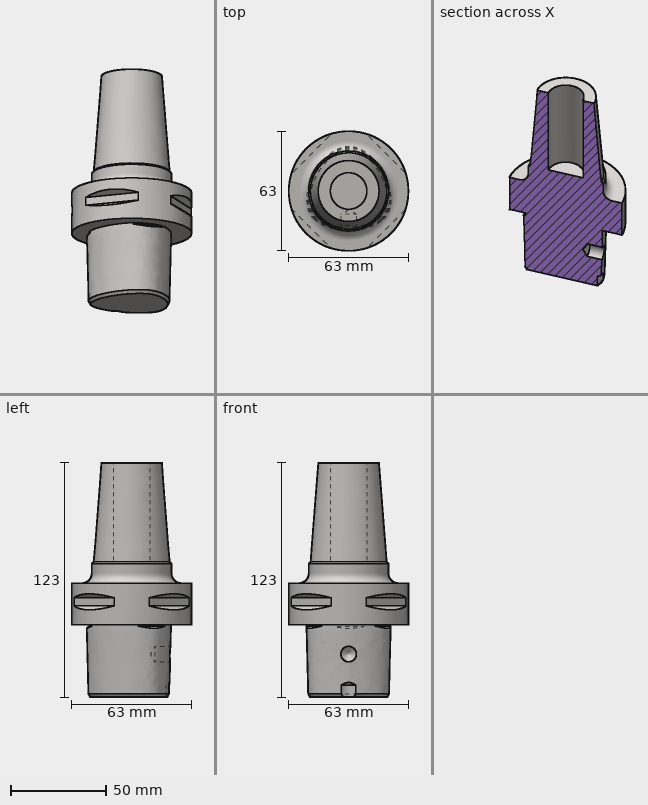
import cadquery as cq
import math

total_height = 123.0
flange_bottom = 38.0
flange_top = 59.9
collar_bottom = 65.0
collar_top = 71.0

flange_radius = 31.5
collar_radius = 21.0
collar_chamfer = 1.0
nose_tip_radius = 16.0
nose_bore_radius = 9.6
nose_bore_depth = total_height - collar_top

lobe_count = 3
lobe_height = 1.5
section_points = 72
shank_radius = 22.1
shank_taper_top = 35.0
shank_taper_slope = 1 / 40
end_chamfer_height = 1.8
end_chamfer_width = 1.0

relief_radius = 22.4
relief_cylinder_bottom = 37.3
relief_bottom = 36.2

groove_count = 4
groove_height = 50.0
groove_floor_distance = 27.8
groove_floor_width = 4.2
groove_flank_angle = 30.0
groove_overrun = 1.2

side_hole_radius = 4.0
side_hole_height = 22.6
side_hole_depth = 8.6
drill_half_angle = 60.0
notch_radius = 4.9
notch_axis_offset = 2.1
notch_height = 6.3
notch_tip_height = 3.5

flat_side = shank_radius - lobe_height


def polygon_section(mean_radius, height):
    """Closed wire of the lobed shank: the envelope of tangent lines at a wavy distance from the axis."""

    def point(turn):
        normal_angle = 2 * math.pi * turn - math.pi / 2
        lobe_phase = lobe_count * (normal_angle - math.pi / 2)
        reach = mean_radius + lobe_height * math.cos(lobe_phase)
        slide = -lobe_count * lobe_height * math.sin(lobe_phase)
        x = reach * math.cos(normal_angle) - slide * math.sin(normal_angle)
        y = reach * math.sin(normal_angle) + slide * math.cos(normal_angle)
        return (x, y, height)

    points = [cq.Vector(*point(index / section_points)) for index in range(section_points)]
    return cq.Wire.assembleEdges([cq.Edge.makeSpline(points, periodic=True)])


def make_shank():
    taper_bottom_radius = shank_radius - (shank_taper_top - end_chamfer_height) * shank_taper_slope
    sections = [
        polygon_section(taper_bottom_radius - end_chamfer_width, 0),
        polygon_section(taper_bottom_radius, end_chamfer_height),
        polygon_section(shank_radius, shank_taper_top),
        polygon_section(shank_radius, flange_bottom),
    ]
    return cq.Workplane(cq.Solid.makeLoft(sections, True))


def make_relief():
    outside = shank_radius + 2 * lobe_height
    lobe_tip = shank_radius + lobe_height
    return (
        cq.Workplane("XZ")
        .moveTo(relief_radius, flange_bottom)
        .lineTo(relief_radius, relief_cylinder_bottom)
        .lineTo(lobe_tip, relief_bottom)
        .lineTo(outside, relief_bottom)
        .lineTo(outside, flange_bottom)
        .close()
        .revolve(360, (0, 0, 0), (0, 1, 0))
    )


def make_upper_body():
    fillet_radius = collar_bottom - flange_top
    fillet_foot = collar_radius + fillet_radius
    fillet_bend = fillet_radius * (1 - math.sqrt(0.5))
    return (
        cq.Workplane("XZ")
        .moveTo(0, flange_bottom)
        .lineTo(flange_radius, flange_bottom)
        .lineTo(flange_radius, flange_top)
        .lineTo(fillet_foot, flange_top)
        .threePointArc(
            (collar_radius + fillet_bend, flange_top + fillet_bend),
            (collar_radius, collar_bottom),
        )
        .lineTo(collar_radius, collar_top - collar_chamfer)
        .lineTo(collar_radius - collar_chamfer, collar_top)
        .lineTo(nose_tip_radius, total_height)
        .lineTo(0, total_height)
        .close()
        .revolve(360, (0, 0, 0), (0, 1, 0))
    )


def make_nose_bore():
    bottom = total_height - nose_bore_depth
    return cq.Workplane("XY", origin=(0, 0, bottom)).circle(nose_bore_radius).extrude(nose_bore_depth)


def make_groove(angle):
    mouth_distance = flange_radius + groove_overrun
    depth = mouth_distance - groove_floor_distance
    half_floor = groove_floor_width / 2
    half_mouth = half_floor + depth * math.tan(math.radians(groove_flank_angle))
    return (
        cq.Workplane("XZ")
        .moveTo(groove_floor_distance, groove_height - half_floor)
        .lineTo(mouth_distance, groove_height - half_mouth)
        .lineTo(mouth_distance, groove_height + half_mouth)
        .lineTo(groove_floor_distance, groove_height + half_floor)
        .close()
        .extrude(flange_radius, both=True)
        .rotate((0, 0, 0), (0, 0, 1), angle)
    )


def make_pointed_drill(radius, straight_length, tip_length, lead_in):
    """Drill along +Z from the origin, with some extra length behind it."""
    return (
        cq.Workplane("XZ")
        .moveTo(0, -lead_in)
        .lineTo(radius, -lead_in)
        .lineTo(radius, straight_length)
        .lineTo(0, straight_length + tip_length)
        .close()
        .revolve(360, (0, 0, 0), (0, 1, 0))
    )


def make_side_hole():
    tip = side_hole_radius / math.tan(math.radians(drill_half_angle))
    drill = make_pointed_drill(side_hole_radius, side_hole_depth, tip, side_hole_radius)
    return drill.rotate((0, 0, 0), (1, 0, 0), -90).translate((0, -flat_side, side_hole_height))


def make_end_notch():
    drill = make_pointed_drill(notch_radius, notch_height, notch_tip_height, notch_radius)
    return drill.translate((0, -flat_side - notch_axis_offset, 0))


result = make_shank().cut(make_relief()).union(make_upper_body())
result = result.cut(make_nose_bore()).cut(make_side_hole()).cut(make_end_notch())
for index in range(groove_count):
    result = result.cut(make_groove((index + 0.5) * 360 / groove_count))